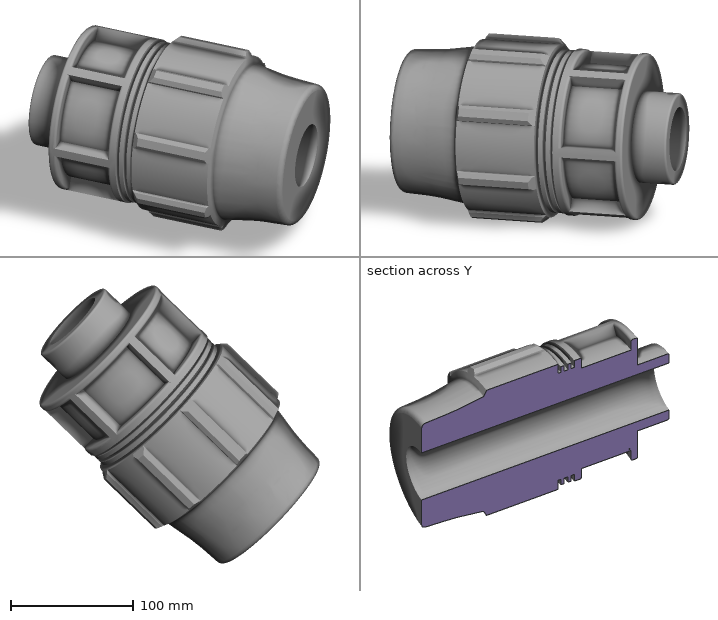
import cadquery as cq


LENGTH = 229.0
BORE_DIAMETER = 52.63

SPIGOT_DIAMETER = 75.18
SPIGOT_LENGTH = 29.0
SPIGOT_FILLET = 1.8

FLANGE_DIAMETER = 136.8
FRONT_FLANGE_WIDTH = 6.5
REAR_FLANGE_START = 81.0
REAR_FLANGE_WIDTH = 6.9
FLANGE_FILLET = 2.0
CORE_DIAMETER = 114.0
BAR_COUNT = 6
BAR_WIDTH = 7.5

NECK_DIAMETER = 121.6
RING_DIAMETER = 134.06
RING_WIDTH = 3.5
RING_STARTS = (90.4, 96.9)

NUT_START = 102.8
NUT_RADIUS = 71.0

GRIP_COUNT = 8
GRIP_TOP_RADIUS = 76.0
GRIP_SHOULDER_RADIUS = 72.7
GRIP_TOP_WIDTH = 6.8
GRIP_BASE_WIDTH = 12.9
GRIP_FRONT_BEVEL = GRIP_TOP_RADIUS - NUT_RADIUS
GRIP_ROOT_RADIUS = 65.0

SHOULDER_START = 166.8
SHOULDER_FOOT = 171.2
SHOULDER_FOOT_RADIUS = 66.0
TAIL_START = 172.4
TAIL_START_RADIUS = 64.8
TAIL_START_DIRECTION = (1.0, -0.17)
TAIL_END_DIRECTION = (1.0, -0.045)
TAIL_END_RADIUS = 58.9
TAIL_FILLET = 4.2
ENVELOPE_CLEARANCE = 2.0
ENVELOPE_RADIUS = GRIP_TOP_RADIUS + ENVELOPE_CLEARANCE


def disc(start, width, diameter):
    """Solid cylinder along X."""
    return cq.Workplane("YZ").workplane(offset=start).circle(diameter / 2).extrude(width)


def spigot():
    return disc(0, SPIGOT_LENGTH, SPIGOT_DIAMETER).faces("<X").edges().fillet(SPIGOT_FILLET)


def flanged_cage():
    front = disc(SPIGOT_LENGTH, FRONT_FLANGE_WIDTH, FLANGE_DIAMETER).edges().fillet(FLANGE_FILLET)
    rear = disc(REAR_FLANGE_START, REAR_FLANGE_WIDTH, FLANGE_DIAMETER)
    rear = rear.faces("<X").edges().fillet(FLANGE_FILLET)
    core_start = SPIGOT_LENGTH + FRONT_FLANGE_WIDTH
    core = disc(core_start, REAR_FLANGE_START - core_start, CORE_DIAMETER)
    return front.union(core).union(rear).union(cage_bars())


def cage_bars():
    """Crossed plates, each giving two opposite bars, trimmed to the flange diameter."""
    start = SPIGOT_LENGTH + FLANGE_FILLET
    length = REAR_FLANGE_START + FLANGE_FILLET - start
    bars = disc(start, length, CORE_DIAMETER)
    for index in range(BAR_COUNT // 2):
        plate = cq.Workplane("YZ").workplane(offset=start).rect(FLANGE_DIAMETER, BAR_WIDTH).extrude(length)
        bars = bars.union(plate.rotate((0, 0, 0), (1, 0, 0), index * 360 / BAR_COUNT))
    return bars.intersect(disc(start, length, FLANGE_DIAMETER))


def ringed_neck():
    start = REAR_FLANGE_START + REAR_FLANGE_WIDTH
    neck = disc(start, NUT_START - start, NECK_DIAMETER)
    for ring_start in RING_STARTS:
        neck = neck.union(disc(ring_start, RING_WIDTH, RING_DIAMETER))
    return neck


def rear_envelope():
    """Revolved outer limit of nut and tail: one smooth curve runs from the steep shoulder into the taper."""
    shoulder_direction = (SHOULDER_FOOT - SHOULDER_START, SHOULDER_FOOT_RADIUS - GRIP_TOP_RADIUS)
    profile = (
        cq.Workplane("XY")
        .moveTo(NUT_START, 0)
        .lineTo(NUT_START, ENVELOPE_RADIUS)
        .lineTo(SHOULDER_START, ENVELOPE_RADIUS)
        .lineTo(SHOULDER_START, GRIP_TOP_RADIUS)
        .spline(
            [
                (SHOULDER_FOOT, SHOULDER_FOOT_RADIUS),
                (TAIL_START, TAIL_START_RADIUS),
                (LENGTH, TAIL_END_RADIUS),
            ],
            tangents=[shoulder_direction, shoulder_direction, TAIL_START_DIRECTION, TAIL_END_DIRECTION],
            includeCurrent=True,
        )
        .lineTo(LENGTH, 0)
        .close()
    )
    return profile.revolve(360, (0, 0), (1, 0)).faces(">X").edges().fillet(TAIL_FILLET)


def grip_rib():
    """One rib pointing along +Z with a bevelled front end; the rear envelope trims its other end."""
    half_base = GRIP_BASE_WIDTH / 2
    half_top = GRIP_TOP_WIDTH / 2
    section = (
        cq.Workplane("YZ")
        .workplane(offset=NUT_START)
        .polyline([
            (-half_base, GRIP_ROOT_RADIUS),
            (-half_base, GRIP_SHOULDER_RADIUS),
            (-half_top, GRIP_TOP_RADIUS),
            (half_top, GRIP_TOP_RADIUS),
            (half_base, GRIP_SHOULDER_RADIUS),
            (half_base, GRIP_ROOT_RADIUS),
        ])
        .close()
        .extrude(TAIL_START - NUT_START)
    )
    side = (
        cq.Workplane("XZ")
        .polyline([
            (NUT_START, GRIP_ROOT_RADIUS),
            (NUT_START, NUT_RADIUS),
            (NUT_START + GRIP_FRONT_BEVEL, GRIP_TOP_RADIUS),
            (TAIL_START, GRIP_TOP_RADIUS),
            (TAIL_START, GRIP_ROOT_RADIUS),
        ])
        .close()
        .extrude(half_base, both=True)
    )
    return section.intersect(side)


def nut_and_tail():
    """Plain barrel with evenly spaced grip ribs, trimmed to the rear envelope."""
    pitch = 360 / GRIP_COUNT
    blank = disc(NUT_START, LENGTH - NUT_START, 2 * NUT_RADIUS)
    rib = grip_rib()
    for index in range(GRIP_COUNT):
        blank = blank.union(rib.rotate((0, 0, 0), (1, 0, 0), (index + 0.5) * pitch))
    return blank.intersect(rear_envelope())


body = spigot().union(flanged_cage()).union(ringed_neck()).union(nut_and_tail())
result = body.cut(disc(0, LENGTH, BORE_DIAMETER))